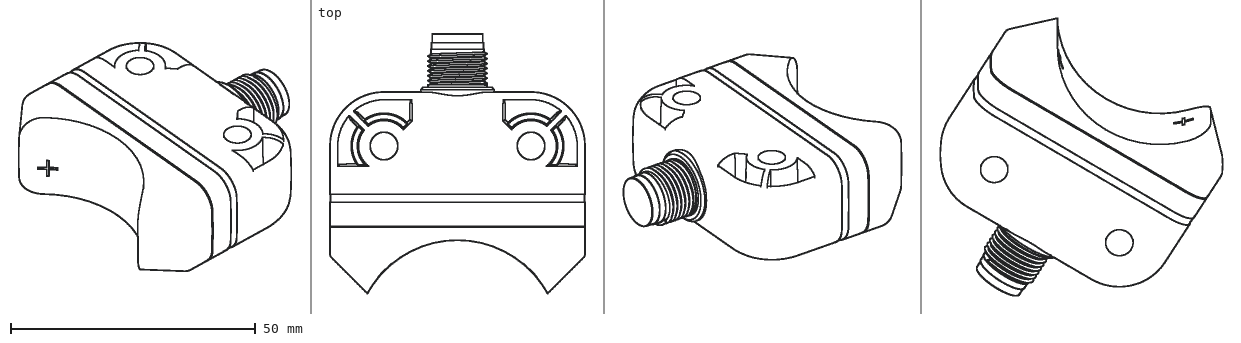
import cadquery as cq
import math

HEIGHT = 20.0
PARTING_HALF_WIDTH = 26.085
DRAFT = 1.0
HOLE_HALF_SPACING = 15.03
HOLE_DIAMETER = 5.6
CORNER_RADIUS = PARTING_HALF_WIDTH - HOLE_HALF_SPACING
REAR_Y = CORNER_RADIUS
EDGE_FILLET = 5.0
FRONT_CORNER_Y = -22.5
FRONT_CORNER_RADIUS = 1.0
FRONT_FACE_ANGLE = 45.0
FRONT_FACE_RUN = 12.0

SADDLE_RADIUS = 21.0
SADDLE_TOP_Y = -19.28
SADDLE_CENTER_Y = SADDLE_TOP_Y - SADDLE_RADIUS

GROOVE_DEPTH = 0.1
BAND_CENTER_Y = -10.65
BAND_WIDTH = 1.65
SEAM_CENTER_Y = -16.5
SEAM_WIDTH = 0.2

POCKET_DRAFT = 1.5
POCKET_REACH = 9.5
POCKET_FLOOR_Z = -8.3
POCKET_FLOOR_FILLET = 3.2
POCKET_INNER_X = 5.75
POCKET_FRONT_Y = -4.15
POCKET_BEVEL_OFFSET = 0.6
HUB_RADIUS = 5.2
HUB_STEP_RADIUS = 6.5
HUB_STEP_Z = 0.0
RIB_WIDTH = 1.2
RIB_ANGLE = 45.0

CONNECTOR_END_Y = 22.96
TIP_START_Y = 21.15
COLLAR_START_Y = 19.75
SHOULDER_END_Y = 12.5
FLANGE_FACE_Y = 12.05
FLANGE_RIM_Y = 11.45
CONNECTOR_ROOT_Y = 5.0
TIP_RADIUS = 5.2
TIP_CHAMFER = 0.12
COLLAR_RADIUS = 5.35
SHOULDER_RADIUS = 6.08
THREAD_RADIUS = 6.05
THREAD_ROOT_RADIUS = 5.45
THREAD_PITCH = 1.0
THREAD_START_Y = 11.85
THREAD_TURNS = 7.4
THREAD_BASE = 0.96
THREAD_EMBED = 0.1
FLANGE_FACE_RADIUS = 7.0
FLANGE_RADIUS = 7.55

MARK_X = 14.8
MARK_Z = 3.25
MARK_LENGTH = 4.0
MARK_STROKE = 0.5
MARK_DEPTH = 0.1

WALL_CORNERS = "not(#Z)"


def make_housing(inset):
    """Drafted and rounded block, smaller by `inset` on every outer face."""
    half_width = PARTING_HALF_WIDTH - inset
    rear_y = REAR_Y - inset
    corner_radius = CORNER_RADIUS - inset
    front_corner_y = FRONT_CORNER_Y + inset * math.tan(math.radians(FRONT_FACE_ANGLE / 2))
    half_height = HEIGHT / 2 - inset
    front_depth = FRONT_FACE_RUN / math.tan(math.radians(FRONT_FACE_ANGLE))
    front_end_y = front_corner_y - front_depth
    half = (
        cq.Workplane("XY")
        .moveTo(-half_width, front_corner_y)
        .lineTo(-half_width, rear_y)
        .lineTo(half_width, rear_y)
        .lineTo(half_width, front_corner_y)
        .lineTo(half_width - FRONT_FACE_RUN, front_end_y)
        .lineTo(-half_width + FRONT_FACE_RUN, front_end_y)
        .close()
        .extrude(half_height, taper=DRAFT)
    )
    middle_z = half_height / 2
    rear_corners = cq.selectors.BoxSelector(
        (-PARTING_HALF_WIDTH, 0, 0), (PARTING_HALF_WIDTH, HEIGHT, HEIGHT)
    )
    front_corners = cq.selectors.BoxSelector(
        (-PARTING_HALF_WIDTH, front_corner_y - middle_z, 0),
        (PARTING_HALF_WIDTH, front_corner_y + middle_z, HEIGHT),
    )
    half = half.edges(WALL_CORNERS).edges(rear_corners).fillet(corner_radius)
    half = half.edges(WALL_CORNERS).edges(front_corners).fillet(FRONT_CORNER_RADIUS)
    half = half.faces(">Z").edges("not(<Y)").fillet(EDGE_FILLET - inset)
    return half.union(half.mirror("XY"))


def cut_groove(housing, inner_core, center_y, width):
    """Shallow groove all around the housing, down to the inset core."""
    slab = cq.Workplane("XY").box(3 * PARTING_HALF_WIDTH, width, 2 * HEIGHT).translate((0, center_y, 0))
    return housing.cut(slab.cut(inner_core))


def make_saddle():
    """Cylinder that shapes the concave front."""
    return (
        cq.Workplane("XY")
        .workplane(offset=-HEIGHT)
        .center(0, SADDLE_CENTER_Y)
        .circle(SADDLE_RADIUS)
        .extrude(2 * HEIGHT)
    )


def make_marks():
    """Thin plus marks on the saddle surface, low on the left and high on the right."""
    pluses = cq.Workplane("XY")
    tilt = math.degrees(math.asin(MARK_X / SADDLE_RADIUS))
    for side in (-1, 1):
        across = cq.Workplane("XY").box(MARK_LENGTH, SADDLE_RADIUS, MARK_STROKE)
        upright = cq.Workplane("XY").box(MARK_STROKE, SADDLE_RADIUS, MARK_LENGTH)
        plus = across.union(upright).translate((0, SADDLE_RADIUS, side * MARK_Z))
        plus = plus.rotate((0, 0, 0), (0, 0, 1), -side * tilt)
        pluses = pluses.add(plus.translate((0, SADDLE_CENTER_Y, 0)))
    sleeve = (
        cq.Workplane("XY")
        .workplane(offset=-HEIGHT / 2)
        .center(0, SADDLE_CENTER_Y)
        .circle(SADDLE_RADIUS + MARK_DEPTH)
        .extrude(HEIGHT)
    )
    return pluses.combine().intersect(sleeve)


def make_pocket():
    """Pair of pockets around a hole at the origin, on the rear left corner, split by a rib."""
    depth = HEIGHT / 2 - POCKET_FLOOR_Z
    block_size = 4 * POCKET_REACH
    block_center = block_size / 2 - POCKET_REACH
    rounded_block = (
        cq.Workplane("XY")
        .rect(block_size, block_size)
        .extrude(depth, taper=POCKET_DRAFT)
        .edges(WALL_CORNERS)
        .fillet(POCKET_REACH)
        .faces(">Z")
        .edges()
        .fillet(POCKET_FLOOR_FILLET)
        .mirror("XY")
        .translate((block_center, -block_center, HEIGHT / 2))
    )
    end_walls = (
        cq.Workplane("XY")
        .workplane(offset=HEIGHT / 2)
        .moveTo(-2 * POCKET_REACH, POCKET_FRONT_Y)
        .lineTo(-2 * POCKET_REACH, 2 * POCKET_REACH)
        .lineTo(POCKET_INNER_X, 2 * POCKET_REACH)
        .lineTo(POCKET_INNER_X, POCKET_INNER_X - POCKET_BEVEL_OFFSET)
        .lineTo(0, -POCKET_BEVEL_OFFSET)
        .lineTo(0, POCKET_FRONT_Y)
        .close()
        .extrude(-depth, taper=POCKET_DRAFT)
    )
    cavity = rounded_block.intersect(end_walls)
    hub = (
        cq.Workplane("XY")
        .workplane(offset=HEIGHT / 2)
        .circle(HUB_RADIUS)
        .extrude(-depth, taper=-POCKET_DRAFT)
    )
    hub_step = (
        cq.Workplane("XY")
        .workplane(offset=HUB_STEP_Z)
        .circle(HUB_STEP_RADIUS)
        .extrude(POCKET_FLOOR_Z - HUB_STEP_Z, taper=-POCKET_DRAFT)
    )
    rib_length = 2 * POCKET_REACH
    rib = (
        cq.Workplane("XY")
        .workplane(offset=HEIGHT / 2)
        .rect(rib_length, RIB_WIDTH)
        .extrude(-depth, taper=-POCKET_DRAFT)
        .translate((-rib_length / 2, 0, 0))
        .rotate((0, 0, 0), (0, 0, 1), -RIB_ANGLE)
    )
    return cavity.cut(hub).cut(hub_step).cut(rib)


def make_thread():
    """Right-handed triangular ridge around the connector core."""
    length = THREAD_TURNS * THREAD_PITCH
    inner_radius = THREAD_ROOT_RADIUS - THREAD_EMBED
    helix = cq.Wire.makeHelix(THREAD_PITCH, length, inner_radius)
    ridge = (
        cq.Workplane("XZ")
        .moveTo(inner_radius, -THREAD_BASE / 2)
        .lineTo(THREAD_RADIUS, 0)
        .lineTo(inner_radius, THREAD_BASE / 2)
        .close()
        .sweep(cq.Workplane(obj=helix), isFrenet=True)
    )
    along_y = ridge.rotate((0, 0, 0), (1, 0, 0), -90)
    return along_y.translate((0, THREAD_START_Y, 0))


def make_connector():
    """Stepped round connector with flange and thread."""
    core = (
        cq.Workplane("XY")
        .moveTo(0, CONNECTOR_ROOT_Y)
        .lineTo(FLANGE_RADIUS, CONNECTOR_ROOT_Y)
        .lineTo(FLANGE_RADIUS, FLANGE_RIM_Y)
        .lineTo(FLANGE_FACE_RADIUS, FLANGE_FACE_Y)
        .lineTo(SHOULDER_RADIUS, FLANGE_FACE_Y)
        .lineTo(SHOULDER_RADIUS, SHOULDER_END_Y)
        .lineTo(THREAD_ROOT_RADIUS, SHOULDER_END_Y)
        .lineTo(THREAD_ROOT_RADIUS, COLLAR_START_Y)
        .lineTo(COLLAR_RADIUS, COLLAR_START_Y)
        .lineTo(COLLAR_RADIUS, TIP_START_Y)
        .lineTo(TIP_RADIUS, TIP_START_Y)
        .lineTo(TIP_RADIUS, CONNECTOR_END_Y - TIP_CHAMFER)
        .lineTo(TIP_RADIUS - TIP_CHAMFER, CONNECTOR_END_Y)
        .lineTo(0, CONNECTOR_END_Y)
        .close()
        .revolve(360, (0, 0, 0), (0, 1, 0))
    )
    return core.union(make_thread())


def make_part():
    body = make_housing(0)
    inner_core = make_housing(GROOVE_DEPTH)
    body = cut_groove(body, inner_core, BAND_CENTER_Y, BAND_WIDTH)
    body = cut_groove(body, inner_core, SEAM_CENTER_Y, SEAM_WIDTH)
    body = body.union(make_connector())
    body = body.cut(make_saddle()).cut(make_marks())

    left_pocket = make_pocket().translate((-HOLE_HALF_SPACING, 0, 0))
    body = body.cut(left_pocket).cut(left_pocket.mirror("YZ"))
    holes = (
        cq.Workplane("XY")
        .workplane(offset=-HEIGHT)
        .pushPoints([(-HOLE_HALF_SPACING, 0), (HOLE_HALF_SPACING, 0)])
        .circle(HOLE_DIAMETER / 2)
        .extrude(2 * HEIGHT)
    )
    return body.cut(holes)


result = make_part()